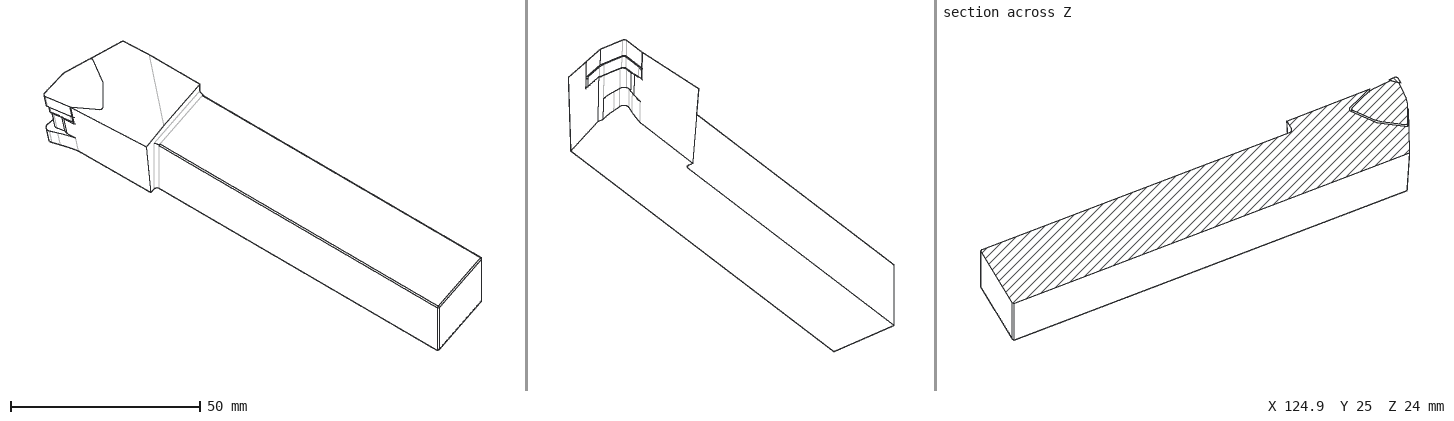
import cadquery as cq
import math

LENGTH = 124.9
SHANK_SIZE = 20.0
SHANK_CHAMFER = 0.4
HEAD_LENGTH = 33.2
HEAD_HEIGHT = 24.0
NECK_FILLET = 1.0
NOSE_Y = -25.0
NOSE_Z = 20.4
TILT = 7.0

INSCRIBED_RADIUS = 6.4
INSERT_THICKNESS = 4.7
NOSE_RADIUS = 0.7
HALF_CORNER = 40.0
CORNERS = 3
HALF_PITCH = 180 / CORNERS
NOSE_DIRECTION = 225.0

SEAT_INSET = 0.4
SEAT_HEIGHT = 3.2
SEAT_FLAT = 1.0
FRONT_RELIEF_END = 8.4
FRONT_RELIEF_DEPTH = 1.0

FRONT_FACE = 0.6
LEAD_ANGLE = 25.0
LEAD_BACK_X = 8.4
LEAD_END_Y = 9.2
COLUMN_SIDE = (1.1, 7.6)
COLUMN_NOSE = (0.5, 0.5)
COLUMN_FRONT_START = (4.2, 1.0)
COLUMN_FRONT_END = (5.2, FRONT_FACE)
COLUMN_NOSE_RADIUS = 1.1
MARGIN = 12.5

TOE_DEPTH = 15.0
TOE_SIDE_START = (-0.4, 3.0)
TOE_SIDE_MIDDLE = (0.2, 5.5)
TOE_TIP_SIDE = (-0.9, 0.7)
TOE_TIP = (-0.6, -0.7)
TOE_TIP_FRONT = (0.7, -1.1)
TOE_FRONT_START = (3.0, -0.5)
TOE_FRONT_MIDDLE = (5.5, 0.1)
TOE_FRONT_END = (8.0, FRONT_FACE)

slope = math.tan(math.radians(TILT)) / math.sqrt(2)
SEAT_PLANE = cq.Plane(origin=(0, NOSE_Y, NOSE_Z), xDir=(1, 0, slope), normal=(-slope, -slope, 1))


def seat_sketch(depth=0.0):
    """Workplane parallel to the seat, the given depth below the insert top."""
    return cq.Workplane(SEAT_PLANE).workplane(offset=-depth)


def trigon(depth, inset, thickness, blunt_flat=0.0):
    """Trigon prism: three rounded 80 degree corners alternating with three blunt ones."""
    radius = INSCRIBED_RADIUS - inset
    corner_reach = (radius - NOSE_RADIUS) / math.sin(math.radians(HALF_CORNER))
    flank_turn = 90 - HALF_CORNER
    blunt_reach = radius / math.cos(math.radians(HALF_PITCH - flank_turn))
    full_reach = (INSCRIBED_RADIUS - NOSE_RADIUS) / math.sin(math.radians(HALF_CORNER))
    centre = NOSE_RADIUS + full_reach / math.sqrt(2)

    def from_centre(reach, heading, step=0.0, step_heading=0.0):
        """Point at a reach and heading from the centre, then one step along another heading."""
        return (
            centre + reach * math.cos(math.radians(heading)) + step * math.cos(math.radians(step_heading)),
            centre + reach * math.sin(math.radians(heading)) + step * math.sin(math.radians(step_heading)),
        )

    outline = seat_sketch(depth)
    for corner in range(CORNERS):
        heading = NOSE_DIRECTION + 2 * HALF_PITCH * corner
        flank_start = from_centre(blunt_reach, heading - HALF_PITCH, blunt_flat, heading + HALF_CORNER)
        if corner == 0:
            outline = outline.moveTo(*flank_start)
        elif blunt_flat > 0:
            outline = outline.lineTo(*flank_start)
        outline = (
            outline
            .lineTo(*from_centre(corner_reach, heading, NOSE_RADIUS, heading - flank_turn))
            .threePointArc(
                from_centre(corner_reach + NOSE_RADIUS, heading),
                from_centre(corner_reach, heading, NOSE_RADIUS, heading + flank_turn),
            )
        )
        flank_end = from_centre(blunt_reach, heading + HALF_PITCH, blunt_flat, heading - HALF_CORNER)
        if corner < CORNERS - 1 or blunt_flat > 0:
            outline = outline.lineTo(*flank_end)
    return outline.close().extrude(-thickness)


def head_body():
    """Head outline run along the seat normal, with the slim column under the nose."""
    lead_slope = math.tan(math.radians(LEAD_ANGLE))
    far_y = -NOSE_Y + MARGIN
    far_x = HEAD_LENGTH + MARGIN
    outline = [
        (far_x, FRONT_FACE),
        (far_x, far_y),
        (LEAD_BACK_X + MARGIN * lead_slope, far_y),
        (LEAD_BACK_X - (-NOSE_Y - LEAD_END_Y) * lead_slope, LEAD_END_Y),
        COLUMN_SIDE,
        COLUMN_NOSE,
        COLUMN_FRONT_START,
        COLUMN_FRONT_END,
    ]
    prism = seat_sketch().polyline(outline).close().extrude(-HEAD_HEIGHT - MARGIN)
    nose_point = SEAT_PLANE.toWorldCoords(COLUMN_NOSE)
    nose_edge = cq.selectors.NearestToPointSelector(
        (nose_point - SEAT_PLANE.zDir * ((HEAD_HEIGHT + MARGIN) / 2)).toTuple()
    )
    return prism.edges(nose_edge).fillet(COLUMN_NOSE_RADIUS)


def toe():
    """Rounded toe that flares out of the column at the bottom of the head."""
    return (
        seat_sketch(TOE_DEPTH)
        .moveTo(*TOE_SIDE_START)
        .lineTo(*TOE_TIP_SIDE)
        .threePointArc(TOE_TIP, TOE_TIP_FRONT)
        .lineTo(*TOE_FRONT_START)
        .threePointArc(TOE_FRONT_MIDDLE, TOE_FRONT_END)
        .lineTo(*COLUMN_SIDE)
        .threePointArc(TOE_SIDE_MIDDLE, TOE_SIDE_START)
        .close()
        .extrude(-HEAD_HEIGHT)
    )


def head_block():
    """Upright block that bounds the head at its back, end, top and bottom."""
    return cq.Workplane().box(
        HEAD_LENGTH + MARGIN, -NOSE_Y + MARGIN, HEAD_HEIGHT, centered=False
    ).translate((-MARGIN, NOSE_Y - MARGIN, 0))


def insert_pocket():
    """Room for the insert and its seat block, open along the front face."""
    depth = INSERT_THICKNESS + SEAT_HEIGHT
    pocket = trigon(0, 0, depth)
    front_relief = seat_sketch().rect(
        FRONT_RELIEF_END, FRONT_RELIEF_DEPTH, centered=False
    ).extrude(-depth)
    return pocket.union(front_relief)


def seat_block():
    """Block under the insert, a little smaller, with its blunt corners cut flat."""
    return trigon(INSERT_THICKNESS, SEAT_INSET, SEAT_HEIGHT, SEAT_FLAT)


def shank():
    """Square shank with broken top and end edges."""
    bar = cq.Workplane().box(LENGTH - HEAD_LENGTH, SHANK_SIZE, SHANK_SIZE, centered=False)
    bar = bar.translate((HEAD_LENGTH, -SHANK_SIZE, 0))
    return bar.faces(">Z").edges("|X").chamfer(SHANK_CHAMFER).faces(">X").chamfer(SHANK_CHAMFER)


def neck():
    """Concave fillet from the end of the head onto the top and front of the shank."""
    size = SHANK_SIZE + NECK_FILLET
    flare = cq.Workplane().box(NECK_FILLET, size, size, centered=False).translate((HEAD_LENGTH, -size, 0))
    over_top = (
        cq.Workplane("XZ", origin=(HEAD_LENGTH + NECK_FILLET, 0, size))
        .circle(NECK_FILLET)
        .extrude(size)
    )
    along_front = (
        cq.Workplane("XY", origin=(HEAD_LENGTH + NECK_FILLET, -size, 0))
        .circle(NECK_FILLET)
        .extrude(size)
    )
    return flare.cut(over_top).cut(along_front)


def make_holder():
    head = head_body().union(toe()).intersect(head_block()).cut(insert_pocket()).union(seat_block())
    return head.union(neck()).union(shank())


insert = trigon(0, 0, INSERT_THICKNESS)
holder = make_holder()
result = cq.Compound.makeCompound([holder.solids().val(), insert.val()])